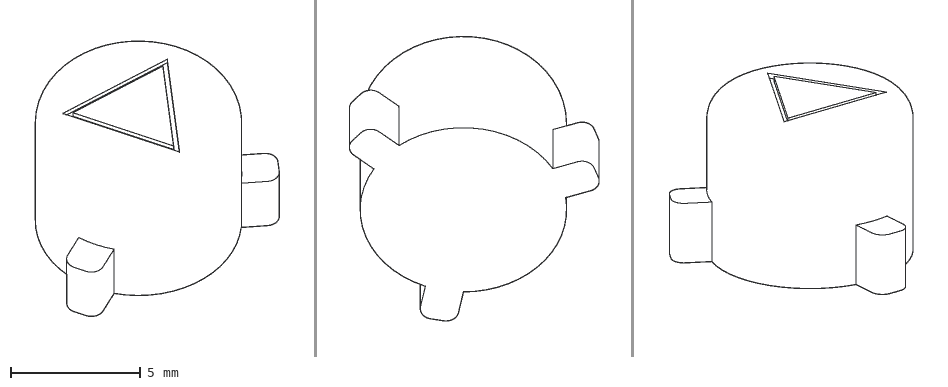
import cadquery as cq
import math

body_diameter = 8.0
body_height = 6.5
top_rounding = 1.0

tab_count = 3
tab_reach = 5.46
tab_width = 1.5
tab_height = 2.5
tab_corner_radius = 0.5
first_tab_angle = 30

triangle_side = 4.97
triangle_base_y = -1.61
groove_width = 0.2
groove_depth = 0.2


def make_body():
    """Solid cylinder with a rounded upper rim."""
    cylinder = cq.Workplane("XY").circle(body_diameter / 2).extrude(body_height)
    return cylinder.faces(">Z").edges().fillet(top_rounding)


def make_tab(angle):
    """Bar from the axis outwards, with its two outer upright corners rounded."""
    bar = cq.Workplane("XY").box(tab_reach, tab_width, tab_height, centered=(False, True, False))
    rounded = bar.edges("|Z and >X").fillet(tab_corner_radius)
    return rounded.rotate((0, 0, 0), (0, 0, 1), angle)


def make_triangle(side, base_y):
    """Equilateral prism reaching from the groove floor to the top face, apex towards +Y."""
    apex_y = base_y + side * math.sqrt(3) / 2
    corners = [(-side / 2, base_y), (side / 2, base_y), (0, apex_y)]
    floor = cq.Workplane("XY").workplane(offset=body_height - groove_depth)
    return floor.polyline(corners).close().extrude(groove_depth)


def make_groove():
    """Triangular ring of constant width."""
    island_side = triangle_side - 2 * math.sqrt(3) * groove_width
    outer = make_triangle(triangle_side, triangle_base_y)
    island = make_triangle(island_side, triangle_base_y + groove_width)
    return outer.cut(island)


result = make_body()
for index in range(tab_count):
    result = result.union(make_tab(first_tab_angle + index * 360 / tab_count))
result = result.cut(make_groove())